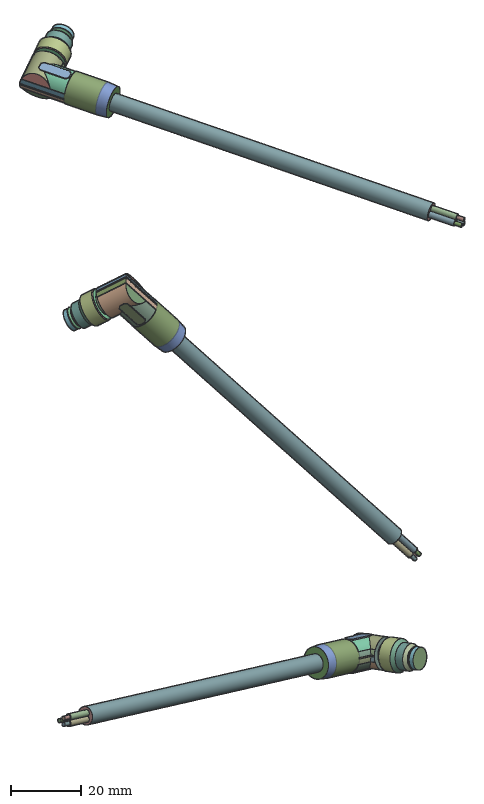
import cadquery as cq
import math

lean_angle = 5.0

sleeve_radius = 5.0
grip_radius = 4.9
grip_end = 9.4
sleeve_taper_start = 19.4
sleeve_end = 22.6
sleeve_end_radius = 4.7
elbow_top = 5.8
profile_top = 2 * elbow_top

ridge_width = 3.7
ridge_gap = 0.4
roof_side_y = -3.3

pad_start = -0.4
pad_end = 9.0
pad_width = 3.0
pad_corner = 0.7

neck_radius = 3.3
nut_start = 7.1
nut_chamfer = 0.3
nut_taper_start = 11.4
nut_end = 12.5
collar_radius = 4.0
collar_end = 15.1
waist_radius = 2.9
waist_start = 16.0
waist_end = 16.1
lip_radius = 3.5
lip_start = 16.6
lip_end = 16.9
tip_radius = 3.3
tip_end = 18.3

cable_radius = 2.7
cable_end = 122.6
wire_count = 3
wire_radius = 1.0
wire_circle_radius = 1.04
wire_end = 130.5
strand_radius = 0.62
strand_end = 132.7
overlap = 1.4


def leaned(shape):
    """Turn a shape built around the Y axis onto the leaning plug axis."""
    return shape.rotate((0, 0, 0), (0, 0, 1), lean_angle)


def rod_x(radius, start, end):
    return cq.Workplane("YZ").workplane(offset=start).circle(radius).extrude(end - start)


def rod_y(radius, start, end):
    return cq.Workplane("XZ", origin=(0, start, 0)).circle(radius).extrude(start - end)


def cut_below_arm(plug_arm, underside):
    """Keep the part of the plug arm inside a profile that runs along the grip."""
    length = 4 * sleeve_radius
    return plug_arm.intersect(underside.extrude(length / 2, both=True))


def make_elbow():
    """Plug arm and grip, with the underside of the elbow cut to a shallow roof."""
    plug_arm = leaned(rod_y(grip_radius, -2 * grip_radius, elbow_top))
    half_flat = ridge_width / 2
    flat_y = -math.sqrt(grip_radius**2 - half_flat**2)
    roof = (
        cq.Workplane("YZ")
        .moveTo(flat_y, -half_flat)
        .lineTo(roof_side_y, -sleeve_radius)
        .lineTo(profile_top, -sleeve_radius)
        .lineTo(profile_top, sleeve_radius)
        .lineTo(roof_side_y, sleeve_radius)
        .lineTo(flat_y, half_flat)
        .close()
    )
    return cut_below_arm(plug_arm, roof).union(rod_x(grip_radius, 0, grip_end))


def make_ridge():
    """Two parallel strips that stand proud of the elbow, level with the sleeve."""
    plug_arm = leaned(rod_y(sleeve_radius, -2 * sleeve_radius, elbow_top))
    round_bottom = (
        cq.Workplane("YZ")
        .moveTo(0, -sleeve_radius)
        .threePointArc((-sleeve_radius, 0), (0, sleeve_radius))
        .lineTo(profile_top, sleeve_radius)
        .lineTo(profile_top, -sleeve_radius)
        .close()
    )
    lower_half = cq.Workplane("XY").box(grip_end, sleeve_radius, 2 * sleeve_radius)
    lower_half = lower_half.translate((grip_end / 2, -sleeve_radius / 2, 0))
    upper_half = rod_x(sleeve_radius, 0, grip_end).cut(lower_half)
    shell = cut_below_arm(plug_arm.union(lower_half), round_bottom).union(upper_half)

    strip_width = (ridge_width - ridge_gap) / 2
    strip_centre = (ridge_width + ridge_gap) / 4
    reach = 4 * sleeve_radius
    slab = cq.Workplane("XY").box(reach, reach, strip_width)
    upper_strip = shell.intersect(slab.translate((0, 0, strip_centre)))
    lower_strip = shell.intersect(slab.translate((0, 0, -strip_centre)))
    return upper_strip.union(lower_strip)


def make_pads():
    length = pad_end - pad_start
    return (
        cq.Workplane("XY")
        .box(length, pad_width, 2 * sleeve_radius)
        .edges("|Z")
        .chamfer(pad_corner)
        .translate((pad_start + length / 2, 0, 0))
    )


def make_sleeve():
    straight = rod_x(sleeve_radius, grip_end, sleeve_taper_start)
    taper = (
        cq.Workplane("XY")
        .moveTo(sleeve_taper_start, 0)
        .lineTo(sleeve_taper_start, sleeve_radius)
        .lineTo(sleeve_end, sleeve_end_radius)
        .lineTo(sleeve_end, 0)
        .close()
        .revolve(360, (0, 0, 0), (1, 0, 0))
    )
    return straight.union(taper)


def make_plug():
    """Neck, nut, collar, waist, lip and tip, turned about the leaning plug axis."""
    outline = [
        (0, 0),
        (neck_radius, 0),
        (neck_radius, nut_start),
        (sleeve_radius - nut_chamfer, nut_start),
        (sleeve_radius, nut_start + nut_chamfer),
        (sleeve_radius, nut_taper_start),
        (collar_radius, nut_end),
        (collar_radius, collar_end),
        (waist_radius, waist_start),
        (waist_radius, waist_end),
        (lip_radius, lip_start),
        (tip_radius, lip_end),
        (tip_radius, tip_end),
        (0, tip_end),
    ]
    return leaned(cq.Workplane("XY").polyline(outline).close().revolve(360, (0, 0, 0), (0, 1, 0)))


def make_cable():
    """Round cable with bare-ended wires set in a ring; one wire faces -Y."""
    cable = rod_x(cable_radius, sleeve_end - overlap, cable_end)
    for index in range(wire_count):
        angle = math.pi + index * 2 * math.pi / wire_count
        place = (0, wire_circle_radius * math.cos(angle), wire_circle_radius * math.sin(angle))
        wire = rod_x(wire_radius, cable_end - overlap, wire_end)
        strand = rod_x(strand_radius, wire_end - overlap, strand_end)
        cable = cable.union(wire.union(strand).translate(place))
    return cable


result = (
    make_elbow()
    .union(make_ridge())
    .union(make_pads())
    .union(make_sleeve())
    .union(make_plug())
    .union(make_cable())
)